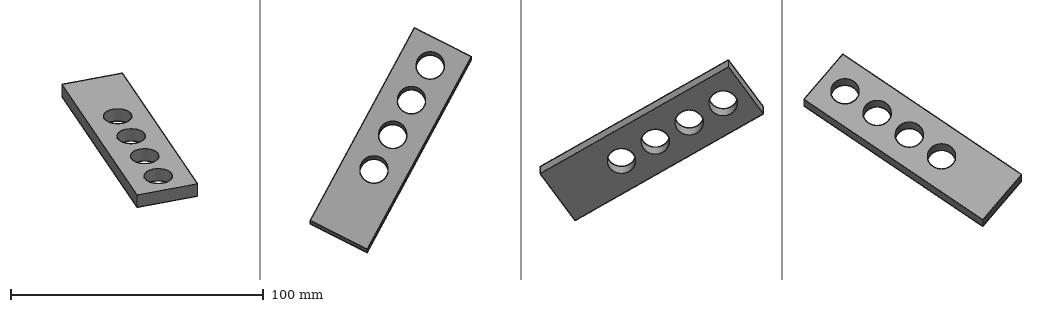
import cadquery as cq

length = 88.9
width = 25.4
thickness = 5.8

hole_diameter = 11.2
hole_count = 4
hole_pitch = 16.0
last_hole_to_end = 10.8

row_length = (hole_count - 1) * hole_pitch
row_center_x = length / 2 - last_hole_to_end - row_length / 2

plate = cq.Workplane("XY").box(length, width, thickness)

result = (
    plate.faces(">Z")
    .workplane()
    .center(row_center_x, 0)
    .rarray(hole_pitch, 0.9, hole_count, 1)
    .hole(hole_diameter)
)